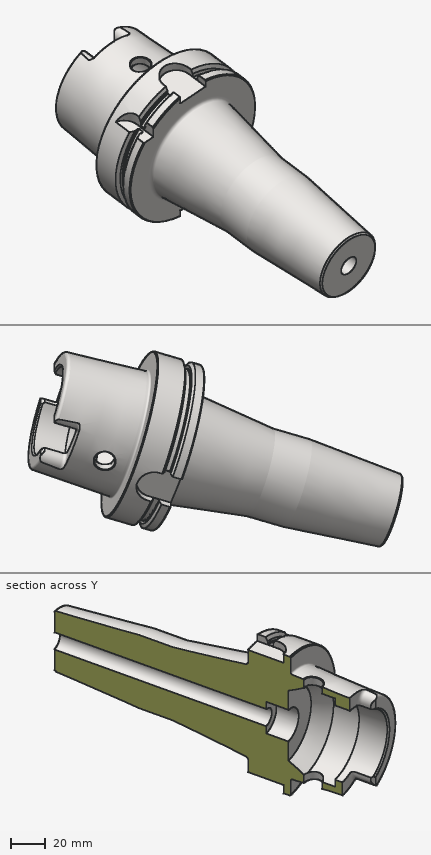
import math

import cadquery as cq

TOTAL_LENGTH = 210.0

SHANK_LENGTH = 50.0
SHANK_TIP_FILLET = 2.0
COLLAR_RADIUS = 75.42 / 2
COLLAR_START = 47.5
COLLAR_FILLET = 1.2
TIP_RADIUS = 35.45
SHANK_SLOPE = (COLLAR_RADIUS - TIP_RADIUS) / COLLAR_START

FLANGE_RADIUS = 50.0
FLANGE_WIDTH = 29.0
FLANGE_CHAMFER = 0.6
FLANGE_END = SHANK_LENGTH + FLANGE_WIDTH
GROOVE_CENTRE = SHANK_LENGTH + 20.0
GROOVE_FLOOR_RADIUS = 45.5
GROOVE_FLOOR_FILLET = 0.5
GROOVE_FLOOR_WIDTH = 3.7
GROOVE_WALL_RADIUS = 47.6
GROOVE_SIDE_ANGLE = 30.0
GROOVE_SIDE_RUN = (FLANGE_RADIUS - GROOVE_WALL_RADIUS) * math.tan(math.radians(GROOVE_SIDE_ANGLE))

NECK_FILLET = 2.2
NECK_START_RADIUS = 33.2
NOSE_RADIUS = 53.0 / 2
NOSE_START = 130.0
NOSE_CONE_START = 152.5
NOSE_HALF_ANGLE = 4.5
NOSE_CHAMFER = 1.0
NOSE_END_RADIUS = NOSE_RADIUS - (TOTAL_LENGTH - NOSE_CONE_START) * math.tan(math.radians(NOSE_HALF_ANGLE))

BORE_RADIUS = 53.0 / 2
BORE_CHAMFER = 1.0
BORE_LENGTH = 20.0
UNDERCUT_RADIUS = 63.0 / 2
BORE_FLOOR_RADIUS = 25.0
UNDERCUT_END = 40.3
BORE_END_ANGLE = 30.0
BORE_DEPTH = UNDERCUT_END + (UNDERCUT_RADIUS - BORE_FLOOR_RADIUS) / math.tan(math.radians(BORE_END_ANGLE))

COOLANT_SEAT_RADIUS = 22.38 / 2
COOLANT_SEAT_DEPTH = 15.0
COOLANT_HOLE_RADIUS = 12.0 / 2

CROSS_HOLE_DIAMETER = 12.0
CROSS_HOLE_CHAMFER = 0.4
CROSS_HOLE_X = 35.0

DRIVE_SLOT_HALF_WIDTH = 10.0
TOP_DRIVE_SLOT_DEPTH = 10.0
BOTTOM_DRIVE_SLOT_DEPTH = 15.0
DRIVE_SLOT_SHOULDER_Z = 32.0
DRIVE_SLOT_SHOULDER_RADIUS = 5.5
DRIVE_SLOT_FLOOR_FILLET = 2.0
DRIVE_SLOT_MOUTH_CHAMFER = 2.0
DRIVE_SLOT_OVERRUN = 5.0

KEYWAY_RADIUS = 10.0
KEYWAY_CENTRE_X = SHANK_LENGTH + 15.0
KEYWAY_FLOOR_Z = 44.0
NOTCH_CORNER = 31.4


def gripper_groove():
    wall = GROOVE_FLOOR_WIDTH / 2
    rim = wall + GROOVE_SIDE_RUN
    fillet = GROOVE_FLOOR_FILLET
    profile = (
        cq.Workplane("XY", origin=(GROOVE_CENTRE, 0, 0))
        .moveTo(-rim, FLANGE_RADIUS)
        .lineTo(-wall, GROOVE_WALL_RADIUS)
        .lineTo(-wall, GROOVE_FLOOR_RADIUS + fillet)
        .radiusArc((fillet - wall, GROOVE_FLOOR_RADIUS), -fillet)
        .lineTo(wall - fillet, GROOVE_FLOOR_RADIUS)
        .radiusArc((wall, GROOVE_FLOOR_RADIUS + fillet), -fillet)
        .lineTo(wall, GROOVE_WALL_RADIUS)
        .lineTo(rim, FLANGE_RADIUS)
        .close()
    )
    return profile.revolve(360, (0, 0, 0), (1, 0, 0))


def revolved_body():
    profile = (
        cq.Workplane("XY")
        .moveTo(0, 0)
        .lineTo(0, TIP_RADIUS - SHANK_TIP_FILLET)
        .radiusArc((SHANK_TIP_FILLET, TIP_RADIUS + SHANK_TIP_FILLET * SHANK_SLOPE), SHANK_TIP_FILLET)
        .lineTo(COLLAR_START, COLLAR_RADIUS)
        .lineTo(SHANK_LENGTH - COLLAR_FILLET, COLLAR_RADIUS)
        .radiusArc((SHANK_LENGTH, COLLAR_RADIUS + COLLAR_FILLET), -COLLAR_FILLET)
        .lineTo(SHANK_LENGTH, FLANGE_RADIUS - FLANGE_CHAMFER)
        .lineTo(SHANK_LENGTH + FLANGE_CHAMFER, FLANGE_RADIUS)
        .lineTo(FLANGE_END - FLANGE_CHAMFER, FLANGE_RADIUS)
        .lineTo(FLANGE_END, FLANGE_RADIUS - FLANGE_CHAMFER)
        .lineTo(FLANGE_END, NECK_START_RADIUS + NECK_FILLET)
        .radiusArc((FLANGE_END + NECK_FILLET, NECK_START_RADIUS), -NECK_FILLET)
        .lineTo(NOSE_START, NOSE_RADIUS)
        .lineTo(NOSE_CONE_START, NOSE_RADIUS)
        .lineTo(TOTAL_LENGTH - NOSE_CHAMFER, NOSE_END_RADIUS)
        .lineTo(TOTAL_LENGTH, NOSE_END_RADIUS - NOSE_CHAMFER)
        .lineTo(TOTAL_LENGTH, 0)
        .close()
    )
    return profile.revolve(360, (0, 0, 0), (1, 0, 0))


def axial_bore():
    profile = (
        cq.Workplane("XY")
        .moveTo(0, 0)
        .lineTo(0, BORE_RADIUS + BORE_CHAMFER)
        .lineTo(BORE_CHAMFER, BORE_RADIUS)
        .lineTo(BORE_LENGTH, BORE_RADIUS)
        .lineTo(BORE_LENGTH, UNDERCUT_RADIUS)
        .lineTo(UNDERCUT_END, UNDERCUT_RADIUS)
        .lineTo(BORE_DEPTH, BORE_FLOOR_RADIUS)
        .lineTo(BORE_DEPTH, COOLANT_SEAT_RADIUS)
        .lineTo(BORE_DEPTH + COOLANT_SEAT_DEPTH, COOLANT_SEAT_RADIUS)
        .lineTo(BORE_DEPTH + COOLANT_SEAT_DEPTH, COOLANT_HOLE_RADIUS)
        .lineTo(TOTAL_LENGTH, COOLANT_HOLE_RADIUS)
        .lineTo(TOTAL_LENGTH, 0)
        .close()
    )
    return profile.revolve(360, (0, 0, 0), (1, 0, 0))


def with_cross_hole(body):
    """Hole through both shank walls, with its two outer rims chamfered."""
    length = 2 * FLANGE_RADIUS
    hole = (
        cq.Workplane("XY", origin=(CROSS_HOLE_X, 0, -length / 2))
        .circle(CROSS_HOLE_DIAMETER / 2)
        .extrude(length)
    )
    around_hole = cq.selectors.BoxSelector(
        (CROSS_HOLE_X - CROSS_HOLE_DIAMETER, -CROSS_HOLE_DIAMETER, -FLANGE_RADIUS),
        (CROSS_HOLE_X + CROSS_HOLE_DIAMETER, CROSS_HOLE_DIAMETER, FLANGE_RADIUS),
    )
    rims = body.cut(hole).edges(around_hole).edges("not %LINE")
    return rims.chamfer(CROSS_HOLE_CHAMFER)


def drive_slot(depth):
    """Slot at +Z whose walls round over into flat shoulders outside them."""
    half = DRIVE_SLOT_HALF_WIDTH
    radius = DRIVE_SLOT_SHOULDER_RADIUS
    shoulder = DRIVE_SLOT_SHOULDER_Z
    outside = FLANGE_RADIUS
    slot = (
        cq.Workplane("YZ")
        .moveTo(-half, 0)
        .lineTo(-half, shoulder - radius)
        .radiusArc((-half - radius, shoulder), -radius)
        .lineTo(-outside, shoulder)
        .lineTo(-outside, outside)
        .lineTo(outside, outside)
        .lineTo(outside, shoulder)
        .lineTo(half + radius, shoulder)
        .radiusArc((half, shoulder - radius), -radius)
        .lineTo(half, 0)
        .close()
        .extrude(depth + DRIVE_SLOT_OVERRUN)
        .translate((-DRIVE_SLOT_OVERRUN, 0, 0))
    )
    floor_edges = slot.faces(">X").edges("not(<Z or >Z or <Y or >Y)")
    slot = floor_edges.fillet(DRIVE_SLOT_FLOOR_FILLET)
    mouth = (
        cq.Workplane("XY")
        .moveTo(0, -half - DRIVE_SLOT_MOUTH_CHAMFER)
        .lineTo(0, half + DRIVE_SLOT_MOUTH_CHAMFER)
        .lineTo(DRIVE_SLOT_MOUTH_CHAMFER, half)
        .lineTo(DRIVE_SLOT_MOUTH_CHAMFER, -half)
        .close()
        .extrude(outside)
    )
    return slot.union(mouth)


def flange_slot(centre_y, floor_z):
    """Slot cut down to floor_z, open towards +X and round at its other end."""
    open_length = FLANGE_END - KEYWAY_CENTRE_X
    height = FLANGE_RADIUS - floor_z
    plane = cq.Workplane("XY", origin=(KEYWAY_CENTRE_X, centre_y, floor_z))
    round_end = plane.circle(KEYWAY_RADIUS).extrude(height)
    straight = plane.rect(open_length, 2 * KEYWAY_RADIUS).extrude(height)
    return round_end.union(straight.translate((open_length / 2, 0, 0)))


def turned_half(tool):
    return tool.rotate((0, 0, 0), (1, 0, 0), 180)


result = revolved_body().cut(gripper_groove())
result = with_cross_hole(result).cut(axial_bore())

result = result.cut(drive_slot(TOP_DRIVE_SLOT_DEPTH))
result = result.cut(turned_half(drive_slot(BOTTOM_DRIVE_SLOT_DEPTH)))

keyway = flange_slot(0, KEYWAY_FLOOR_Z)
result = result.cut(keyway).cut(turned_half(keyway))

result = result.cut(flange_slot(-NOTCH_CORNER - KEYWAY_RADIUS, NOTCH_CORNER))